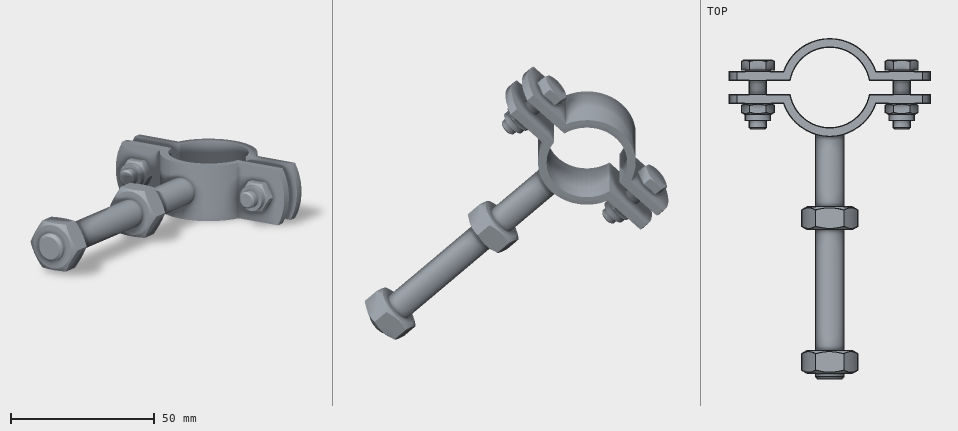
import cadquery as cq
import math

band_width = 20.0
band_thickness = 3.0
bore_radius = 14.0
ring_radius = bore_radius + band_thickness
gap = 5.0
flange_length = 70.0
flange_end_radius = 20.0
flange_inner_y = gap / 2
flange_outer_y = flange_inner_y + band_thickness
bolt_spacing = 50.0
bolt_positions = [-bolt_spacing / 2, bolt_spacing / 2]
bolt_hole_diameter = 6.5

bolt_diameter = 6.0
bolt_length = 20.0
bolt_tip_chamfer = 0.61
bolt_washer_diameter = 8.7
bolt_washer_thickness = 0.5
bolt_head_height = 4.0

small_hex_flats = 10.0
bolt_head_face_diameter = 9.9
lock_nut_hex_height = 3.9
lock_nut_height = 6.0
collar_diameter = 8.9

rod_diameter = 10.0
rod_end_y = -101.44
rod_tip_chamfer = 0.92
large_nut_flats = 17.0
large_face_diameter = 15.6
large_nut_height = 8.0
large_nut_spacing = 50.0
rod_protrusion = 2.0

hex_chamfer_angle = math.radians(30)


def z_disc(radius):
    """Solid disc around the Z axis, as tall as the clamp band."""
    return cq.Workplane("XY").circle(radius).extrude(band_width / 2, both=True)


def y_cylinder(x, diameter, y_start, y_end):
    """Cylinder along Y, centred at the given x."""
    return (
        cq.Workplane("XZ", origin=(x, y_end, 0))
        .circle(diameter / 2)
        .extrude(y_end - y_start)
    )


def y_hexagon(x, flats, face_diameter, y_start, y_end, chamfer_start=True, chamfer_end=True):
    """Hexagonal prism along Y, corners on X, its corners turned down by cones at the chosen ends."""
    corner_diameter = flats / math.cos(math.pi / 6)
    corner_radius = corner_diameter / 2
    face_radius = face_diameter / 2
    drop = (corner_radius - face_radius) * math.tan(hex_chamfer_angle)
    prism = (
        cq.Workplane("XZ", origin=(x, y_end, 0))
        .polygon(6, corner_diameter)
        .extrude(y_end - y_start)
    )
    outline = [(0, y_start)]
    if chamfer_start:
        outline += [(face_radius, y_start), (corner_radius, y_start + drop)]
    else:
        outline += [(corner_radius, y_start)]
    if chamfer_end:
        outline += [(corner_radius, y_end - drop), (face_radius, y_end)]
    else:
        outline += [(corner_radius, y_end)]
    outline += [(0, y_end)]
    turned = cq.Workplane("XY").polyline(outline).close().revolve(360, (0, 0, 0), (0, 1, 0))
    return prism.intersect(turned.translate((x, 0, 0)))


def flange_blank():
    """Both flanges as one plate on the +Y side of the gap, with rounded outer ends."""
    half_length = flange_length / 2
    half_width = band_width / 2
    end_sag = flange_end_radius - math.sqrt(flange_end_radius**2 - half_width**2)
    corner_x = half_length - end_sag
    return (
        cq.Workplane("XZ", origin=(0, flange_outer_y, 0))
        .moveTo(-corner_x, -half_width)
        .lineTo(corner_x, -half_width)
        .threePointArc((half_length, 0), (corner_x, half_width))
        .lineTo(-corner_x, half_width)
        .threePointArc((-half_length, 0), (-corner_x, -half_width))
        .close()
        .extrude(band_thickness)
    )


def make_clamp_half():
    """Clamp half on the +Y side."""
    ring = z_disc(ring_radius)
    beyond_gap = (
        cq.Workplane("XY", origin=(0, flange_inner_y, 0))
        .box(2 * ring_radius, ring_radius, band_width, centered=(True, False, True))
    )
    half = ring.intersect(beyond_gap).union(flange_blank()).cut(z_disc(bore_radius))
    for x in bolt_positions:
        half = half.cut(y_cylinder(x, bolt_hole_diameter, flange_inner_y, flange_outer_y))
    return half


def make_clamp_half_with_rod():
    """Clamp half on the -Y side, with the rod joined to the outside of its ring."""
    rod_start_y = -(bore_radius + ring_radius) / 2
    rod = y_cylinder(0, rod_diameter, rod_end_y, rod_start_y)
    rod = rod.faces("<Y").chamfer(rod_tip_chamfer)
    return make_clamp_half().mirror("XZ").union(rod.cut(z_disc(bore_radius)))


def make_bolt(x):
    """Hexagon bolt with a washer face under its head, entering from the +Y side."""
    washer_top_y = flange_outer_y + bolt_washer_thickness
    head_top_y = flange_outer_y + bolt_head_height
    shank_end_y = flange_outer_y - bolt_length
    shank = y_cylinder(x, bolt_diameter, shank_end_y, washer_top_y)
    shank = shank.faces("<Y").chamfer(bolt_tip_chamfer)
    washer_face = y_cylinder(x, bolt_washer_diameter, flange_outer_y, washer_top_y)
    head = y_hexagon(
        x, small_hex_flats, bolt_head_face_diameter, washer_top_y, head_top_y, chamfer_start=False
    )
    return head.union(washer_face).union(shank)


def make_lock_nut(x):
    """Nut with a round locking collar, seated on the -Y flange."""
    seat_y = -flange_outer_y
    hexagon_end_y = seat_y - lock_nut_hex_height
    nut_end_y = seat_y - lock_nut_height
    hexagon = y_hexagon(x, small_hex_flats, collar_diameter, hexagon_end_y, seat_y)
    collar = y_cylinder(x, collar_diameter, nut_end_y, hexagon_end_y)
    return hexagon.union(collar).cut(y_cylinder(x, bolt_diameter, nut_end_y, seat_y))


def make_large_nut(y_start):
    """Hexagon nut on the rod, chamfered on both faces."""
    y_end = y_start + large_nut_height
    hexagon = y_hexagon(0, large_nut_flats, large_face_diameter, y_start, y_end)
    return hexagon.cut(y_cylinder(0, rod_diameter, y_start, y_end))


end_nut_y = rod_end_y + rod_protrusion
large_nut_positions = [end_nut_y, end_nut_y + large_nut_spacing]

clamp_half = make_clamp_half()
clamp_half_with_rod = make_clamp_half_with_rod()
bolts = [make_bolt(x) for x in bolt_positions]
lock_nuts = [make_lock_nut(x) for x in bolt_positions]
large_nuts = [make_large_nut(y) for y in large_nut_positions]

result = cq.Compound.makeCompound([
    clamp_half.val(),
    clamp_half_with_rod.val(),
    *[bolt.val() for bolt in bolts],
    *[nut.val() for nut in lock_nuts],
    *[nut.val() for nut in large_nuts],
])